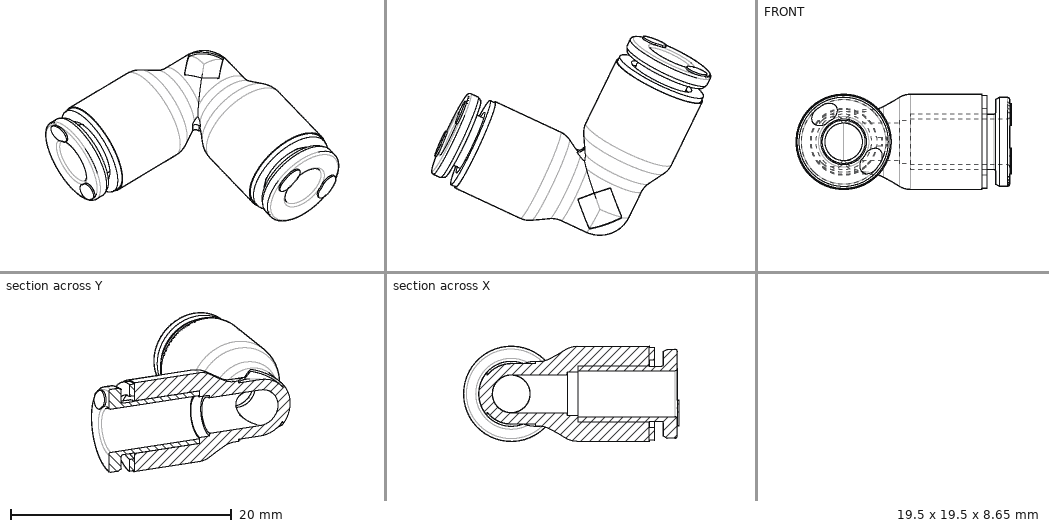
import cadquery as cq
import math

ARM_ANGLES = (0, -90)
NECK_LENGTHS = (2.62, 2.52)

OVERALL_LENGTH = 19.52
BARREL_RADIUS = 8.65 / 2
NECK_RADIUS = 2.95
SHOULDER_BLEND_RADIUS = 2.0
SHOULDER_ANGLE = math.radians(30)
BARREL_END = 12.51

PASSAGE_RADIUS = 1.7
SLEEVE_RADIUS = 2.52
SEAT_RADIUS = 1.95
TUBE_RADIUS = 2.07
SEAT_START = 5.08
SLEEVE_START = 6.05

WEB_THICKNESS = 0.78
WEB_INNER_REACH = 1.95
WEB_ROUND_CENTRE = 3.9
WEB_ROUND_RADIUS = 0.4

DIAMOND_SIDE = 3.15
DIAMOND_CORNER_RADIUS = 0.1
DIAMOND_DEPTH = 0.2
DIAMOND_TURN = 45

RING_RADIUS = 4.22
RING_BORE_RADIUS = 3.03
RING_THICKNESS = 0.47

BUTTON_END = OVERALL_LENGTH - BARREL_RADIUS
PAD_HEIGHT = 0.15
FLANGE_RADIUS = 4.05
FLANGE_BACK = 13.76
FLANGE_BACK_CHAMFER_LENGTH = 0.35
FLANGE_BACK_CHAMFER_HEIGHT = 0.2
FLANGE_EDGE_RADIUS = 0.21
BUTTON_ROOT_RADIUS = 0.15

PAD_ANGLES = (125, -35)
PAD_CENTRE_RADIUS = 3.03
PAD_HALF_LENGTH = 1.29
PAD_HALF_WIDTH = 0.84

BLEND_LENGTH = SHOULDER_BLEND_RADIUS * math.sin(SHOULDER_ANGLE)
BLEND_RISE = SHOULDER_BLEND_RADIUS * (1 - math.cos(SHOULDER_ANGLE))
CONE_RISE = BARREL_RADIUS - NECK_RADIUS - 2 * BLEND_RISE
CONE_LENGTH = CONE_RISE / math.tan(SHOULDER_ANGLE)
RING_END = BARREL_END + RING_THICKNESS
FLANGE_FACE = BUTTON_END - PAD_HEIGHT


def turned(profile):
    """Revolve a closed (axial, radius) profile about the X axis."""
    return profile.close().revolve(360, (0, 0, 0), (1, 0, 0))


def place_on_arm(body, angle):
    return body.rotate((0, 0, 0), (0, 0, 1), angle)


def rod(radius, start, end):
    return cq.Workplane("YZ", origin=(start, 0, 0)).circle(radius).extrude(end - start)


def arm_outside(neck_length):
    """Neck, S-shaped shoulder and barrel of one arm."""
    cone_start = neck_length + BLEND_LENGTH
    cone_end = cone_start + CONE_LENGTH
    shoulder_end = cone_end + BLEND_LENGTH
    half_angle = SHOULDER_ANGLE / 2
    mid_length = SHOULDER_BLEND_RADIUS * math.sin(half_angle)
    mid_rise = SHOULDER_BLEND_RADIUS * (1 - math.cos(half_angle))
    return turned(
        cq.Workplane("XY")
        .lineTo(0, NECK_RADIUS)
        .lineTo(neck_length, NECK_RADIUS)
        .threePointArc(
            (neck_length + mid_length, NECK_RADIUS + mid_rise),
            (cone_start, NECK_RADIUS + BLEND_RISE),
        )
        .lineTo(cone_end, BARREL_RADIUS - BLEND_RISE)
        .threePointArc(
            (shoulder_end - mid_length, BARREL_RADIUS - mid_rise),
            (shoulder_end, BARREL_RADIUS),
        )
        .lineTo(BARREL_END, BARREL_RADIUS)
        .lineTo(BARREL_END, 0)
    )


def arm_bore():
    """Passage from the bend, the seat for the tube end, and the recess for the button sleeve."""
    passage = rod(PASSAGE_RADIUS, 0, SEAT_START)
    seat = rod(SEAT_RADIUS, SEAT_START, SLEEVE_START)
    recess = rod(SLEEVE_RADIUS, SLEEVE_START, BARREL_END)
    return passage.union(seat).union(recess)


def corner_web():
    """Thin plate bridging the two shoulders, ending in a concave round."""
    side = WEB_ROUND_CENTRE - WEB_INNER_REACH
    plate = (
        cq.Workplane("XY", origin=(WEB_INNER_REACH, -WEB_INNER_REACH, 0))
        .polyline([(0, 0), (side, 0), (side, -side), (0, -side)])
        .close()
        .extrude(WEB_THICKNESS / 2, both=True)
    )
    round_cut = (
        cq.Workplane("XY", origin=(WEB_ROUND_CENTRE, -WEB_ROUND_CENTRE, 0))
        .circle(WEB_ROUND_RADIUS)
        .extrude(WEB_THICKNESS, both=True)
    )
    return plate.cut(round_cut)


def diamond_recess():
    """Diamond column less the bend shrunk by the recess depth, so the floor follows the surface."""
    floor_radius = NECK_RADIUS - DIAMOND_DEPTH
    column = (
        cq.Workplane("XY")
        .rect(DIAMOND_SIDE, DIAMOND_SIDE)
        .extrude(NECK_RADIUS + DIAMOND_DEPTH, both=True)
        .edges("|Z")
        .fillet(DIAMOND_CORNER_RADIUS)
        .rotate((0, 0, 0), (0, 0, 1), DIAMOND_TURN)
    )
    core = cq.Workplane("XY").sphere(floor_radius)
    for angle in ARM_ANGLES:
        core = core.union(place_on_arm(rod(floor_radius, 0, DIAMOND_SIDE), angle))
    return column.cut(core)


def make_housing():
    outside = cq.Workplane("XY").sphere(NECK_RADIUS)
    bores = cq.Workplane("XY").sphere(PASSAGE_RADIUS)
    for angle, neck_length in zip(ARM_ANGLES, NECK_LENGTHS):
        outside = outside.union(place_on_arm(arm_outside(neck_length), angle))
        bores = bores.union(place_on_arm(arm_bore(), angle))
    return outside.union(corner_web()).cut(diamond_recess()).cut(bores)


def make_ring():
    """Flat ring on the barrel end, with clearance around the button sleeve."""
    return rod(RING_RADIUS, BARREL_END, RING_END).cut(rod(RING_BORE_RADIUS, BARREL_END, RING_END))


def button_pad(angle):
    """Raised oval, its long side square to the radius, kept within the flat face."""
    centre_y = PAD_CENTRE_RADIUS * math.cos(math.radians(angle))
    centre_z = PAD_CENTRE_RADIUS * math.sin(math.radians(angle))
    oval = (
        cq.Workplane("YZ", origin=(FLANGE_FACE, centre_y, centre_z))
        .transformed(rotate=(0, 0, angle))
        .ellipse(PAD_HALF_WIDTH, PAD_HALF_LENGTH)
        .extrude(PAD_HEIGHT)
    )
    face_outer = rod(FLANGE_RADIUS - FLANGE_EDGE_RADIUS, FLANGE_FACE, BUTTON_END)
    face_inner = rod(TUBE_RADIUS + FLANGE_EDGE_RADIUS, FLANGE_FACE, BUTTON_END)
    return oval.intersect(face_outer).cut(face_inner)


def make_button():
    """Sleeve with a flange outside the ring and a rounded mouth for the tube."""
    edge_setback = FLANGE_EDGE_RADIUS * (1 - math.sqrt(0.5))
    root_setback = BUTTON_ROOT_RADIUS * (1 - math.sqrt(0.5))
    button = turned(
        cq.Workplane("XY")
        .moveTo(SLEEVE_START, TUBE_RADIUS)
        .lineTo(SLEEVE_START, SLEEVE_RADIUS)
        .lineTo(FLANGE_BACK - BUTTON_ROOT_RADIUS, SLEEVE_RADIUS)
        .threePointArc(
            (FLANGE_BACK - root_setback, SLEEVE_RADIUS + root_setback),
            (FLANGE_BACK, SLEEVE_RADIUS + BUTTON_ROOT_RADIUS),
        )
        .lineTo(FLANGE_BACK, FLANGE_RADIUS - FLANGE_BACK_CHAMFER_HEIGHT)
        .lineTo(FLANGE_BACK + FLANGE_BACK_CHAMFER_LENGTH, FLANGE_RADIUS)
        .lineTo(FLANGE_FACE - FLANGE_EDGE_RADIUS, FLANGE_RADIUS)
        .threePointArc(
            (FLANGE_FACE - edge_setback, FLANGE_RADIUS - edge_setback),
            (FLANGE_FACE, FLANGE_RADIUS - FLANGE_EDGE_RADIUS),
        )
        .lineTo(FLANGE_FACE, TUBE_RADIUS + FLANGE_EDGE_RADIUS)
        .threePointArc(
            (FLANGE_FACE - edge_setback, TUBE_RADIUS + edge_setback),
            (FLANGE_FACE - FLANGE_EDGE_RADIUS, TUBE_RADIUS),
        )
    )
    for angle in PAD_ANGLES:
        button = button.union(button_pad(angle))
    return button


housing = make_housing()
rings = [place_on_arm(make_ring(), angle) for angle in ARM_ANGLES]
buttons = [place_on_arm(make_button(), angle) for angle in ARM_ANGLES]

result = cq.Compound.makeCompound(
    [housing.val(), *[ring.val() for ring in rings], *[button.val() for button in buttons]]
)